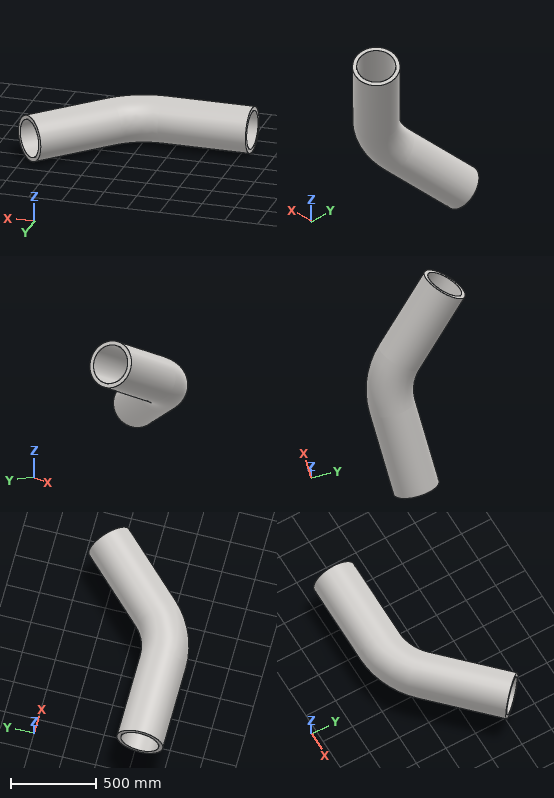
import cadquery as cq
import math

OUTER_DIAMETER = 280.0
INNER_DIAMETER = 229.2

BEND_ANGLE = 45.0
BEND_RADIUS = 1.5 * OUTER_DIAMETER
CENTRE_TO_END = 710.0

tangent_length = BEND_RADIUS * math.tan(math.radians(BEND_ANGLE / 2))
leg_length = CENTRE_TO_END - tangent_length


def pipe_section(workplane):
    """Draw the annular pipe section about the workplane origin."""
    return workplane.circle(OUTER_DIAMETER / 2).circle(INNER_DIAMETER / 2)


def straight_leg():
    """Straight pipe along +X from the origin."""
    return pipe_section(cq.Workplane("YZ")).extrude(leg_length)


def bend():
    """Curved pipe from the end of the first leg, turning from +X toward +Y."""
    section = pipe_section(cq.Workplane("YZ", origin=(leg_length, 0, 0)))
    return section.revolve(BEND_ANGLE, (BEND_RADIUS, 0, 0), (BEND_RADIUS, 1, 0))


def angled_leg():
    """Second leg: the straight pipe moved past the bend and turned about the crossing of the axes."""
    corner = (CENTRE_TO_END, 0, 0)
    outgoing = straight_leg().translate((CENTRE_TO_END + tangent_length, 0, 0))
    return outgoing.rotate(corner, (CENTRE_TO_END, 0, 1), BEND_ANGLE)


result = straight_leg().union(bend()).union(angled_leg())